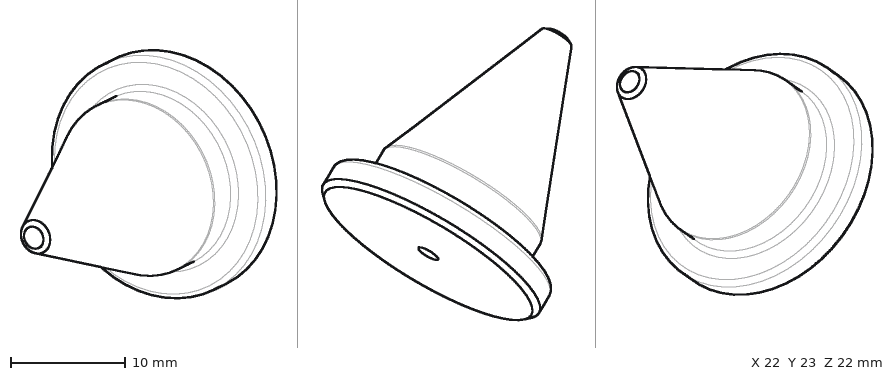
import cadquery as cq
import math

flange_diameter = 22.0
flange_thickness = 2.8
flange_chamfer = 0.5
neck_diameter = 16.0
cone_start = 6.0
total_length = 23.0
bore_diameter = 2.0
edge_round = 0.5
tip_bevel_length = 0.3
tip_bevel_angle = math.radians(30)

flange_radius = flange_diameter / 2
neck_radius = neck_diameter / 2
bore_radius = bore_diameter / 2

back_y = 0.0
flange_front_y = back_y - flange_thickness
cone_start_y = back_y - cone_start
tip_y = back_y - total_length

cone_end_y = tip_y + tip_bevel_length
cone_end_radius = bore_radius + tip_bevel_length / math.tan(tip_bevel_angle)
cone_half_angle = math.atan2(neck_radius - cone_end_radius, cone_start_y - cone_end_y)

shoulder_trim = edge_round * math.tan(cone_half_angle / 2)
shoulder_end_radius = neck_radius - shoulder_trim * math.sin(cone_half_angle)
shoulder_end_y = cone_start_y - shoulder_trim * math.cos(cone_half_angle)


def nozzle_section():
    """Half section in the YZ plane as (Y, radius), bounded inside by the through bore."""
    return (
        cq.Workplane("YZ")
        .moveTo(back_y, bore_radius)
        .lineTo(back_y, flange_radius - flange_chamfer)
        .lineTo(back_y - flange_chamfer, flange_radius)
        .lineTo(flange_front_y + edge_round, flange_radius)
        .radiusArc((flange_front_y, flange_radius - edge_round), -edge_round)
        .lineTo(flange_front_y, neck_radius + edge_round)
        .radiusArc((flange_front_y - edge_round, neck_radius), edge_round)
        .lineTo(cone_start_y + shoulder_trim, neck_radius)
        .radiusArc((shoulder_end_y, shoulder_end_radius), -edge_round)
        .lineTo(cone_end_y, cone_end_radius)
        .lineTo(tip_y, bore_radius)
        .close()
    )


axis_start = (0, 0, 0)
axis_end = (1, 0, 0)
result = nozzle_section().revolve(360, axis_start, axis_end)